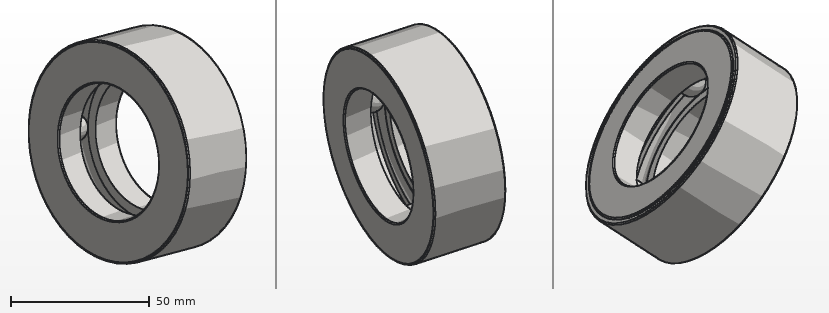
import cadquery as cq
import math

outer_dia = 82.55
total_length = 30.1
bore_dia = 50.8

front_plate_thickness = 11.15
raised_face_dia = 81.15
raised_face_height = 0.1
front_chamfer = 0.5
rear_chamfer = 0.5
bore_chamfer = 0.5
plate_protrusion = 0.25

rear_plate_dia = 78.5
rear_plate_thickness = 11.15
rear_plate_chamfer = 0.7

ball_count = 4
ball_dia = 10.4
pitch_dia = 65.2

front_y = -total_length / 2
rear_y = total_length / 2
gap_front_y = front_y + front_plate_thickness
gap_rear_y = rear_y - rear_plate_thickness
ball_y = (gap_front_y + gap_rear_y) / 2


def disc(diameter, y_start, y_end):
    """Solid cylinder about the Y axis."""
    return cq.Workplane("XZ", origin=(0, y_start, 0)).circle(diameter / 2).extrude(y_start - y_end)


def make_raceway():
    """Ring swept by the balls, cut from both plates to leave their grooves."""
    return cq.Workplane(
        cq.Solid.makeTorus(pitch_dia / 2, ball_dia / 2, cq.Vector(0, ball_y, 0), cq.Vector(0, 1, 0))
    )


def make_cup():
    """Front plate with a raised face, a grooved floor and the outer wall."""
    body = disc(outer_dia, front_y + raised_face_height, rear_y - plate_protrusion)
    body = body.faces("<Y").chamfer(front_chamfer)
    body = body.faces(">Y").chamfer(rear_chamfer)
    body = body.union(disc(raised_face_dia, front_y, gap_front_y))
    body = body.cut(disc(rear_plate_dia, gap_front_y, rear_y))
    body = body.cut(disc(bore_dia, front_y, rear_y))
    body = body.faces("<Y").edges(cq.selectors.RadiusNthSelector(0)).chamfer(bore_chamfer)
    return body.cut(make_raceway())


def make_rear_plate():
    """Grooved plate standing slightly proud of the cup wall."""
    body = disc(rear_plate_dia, gap_rear_y, rear_y).faces(">Y").chamfer(rear_plate_chamfer)
    body = body.cut(disc(bore_dia, gap_rear_y, rear_y))
    body = body.faces(">Y").edges(cq.selectors.RadiusNthSelector(0)).chamfer(bore_chamfer)
    return body.cut(make_raceway())


def make_ball(angle):
    """Ball on the pitch circle, at an angle in degrees from +X toward +Z."""
    x = pitch_dia / 2 * math.cos(math.radians(angle))
    z = pitch_dia / 2 * math.sin(math.radians(angle))
    return cq.Workplane("XY", origin=(x, ball_y, z)).sphere(ball_dia / 2)


cup = make_cup()
rear_plate = make_rear_plate()
balls = []
for index in range(ball_count):
    ball = make_ball(index * 360 / ball_count)
    balls.append(ball.val())

result = cq.Compound.makeCompound([cup.val(), rear_plate.val(), *balls])